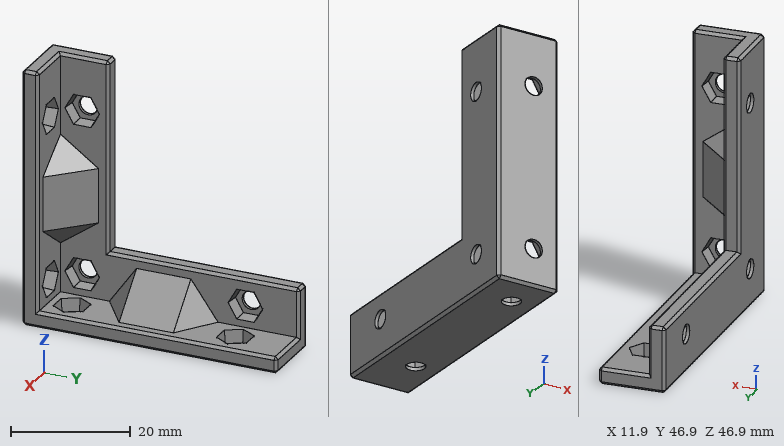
import cadquery as cq

arm_length = 46.9
arm_width = 11.9
wall = 3.0
edge_chamfer = 0.5
tolerance = 0.005

hole_diameter = 3.4
hole_offset = 7.0
hole_spacing = 30.0
pocket_mouth_flats = 5.5
pocket_floor_flats = 5.05
pocket_depth = 2.4

gusset_leg = 7.0
gusset_crest_length = 10.0
gusset_base_length = 20.0
gusset_centre = hole_offset + hole_spacing / 2


def is_inside_corner(edge):
    """True for the edges where two faces meet in a hollow corner, which stay sharp."""
    middle = edge.Center()
    on_inner_face = [abs(value - wall) < tolerance for value in middle.toTuple()]
    between_arms = max(abs(middle.y - arm_width), abs(middle.z - arm_width)) < tolerance
    return sum(on_inner_face) == 2 or between_arms


def make_bracket():
    """L-shaped side plate with a floor along one arm and an end wall along the other."""
    outline = [
        (0, 0),
        (arm_length, 0),
        (arm_length, arm_width),
        (arm_width, arm_width),
        (arm_width, arm_length),
        (0, arm_length),
    ]
    body = cq.Workplane("YZ").polyline(outline).close().extrude(arm_width)
    hollow = cq.Workplane("XY").box(arm_width, arm_length, arm_length, centered=False)
    body = body.cut(hollow.translate((wall, wall, wall)))
    outer_edges = body.edges().filter(lambda edge: not is_inside_corner(edge))
    return outer_edges.chamfer(edge_chamfer)


def make_floor_gusset():
    """Triangular rib along Y between side plate and floor, sloping down to a point at both ends."""
    tip = wall + gusset_leg
    crest_start = gusset_centre - gusset_crest_length / 2
    crest_end = gusset_centre + gusset_crest_length / 2
    start = (wall, gusset_centre - gusset_base_length / 2, wall)
    end = (wall, gusset_centre + gusset_base_length / 2, wall)
    floor_start = (tip, crest_start, wall)
    floor_end = (tip, crest_end, wall)
    side_start = (wall, crest_start, tip)
    side_end = (wall, crest_end, tip)
    outlines = [
        (start, floor_start, side_start),
        (end, side_end, floor_end),
        (floor_start, floor_end, side_end, side_start),
        (start, end, floor_end, floor_start),
        (start, side_start, side_end, end),
    ]
    faces = []
    for outline in outlines:
        wire = cq.Wire.makePolygon([cq.Vector(*corner) for corner in outline], close=True)
        faces.append(cq.Face.makeFromWires(wire))
    return cq.Workplane(cq.Solid.makeSolid(cq.Shell.makeShell(faces)))


def make_nut_hole(plane):
    """Through hole with a tapered nut pocket; the plane lies on the outer face, pointing inwards."""
    hole = cq.Workplane(plane).circle(hole_diameter / 2).extrude(wall)
    pocket = (
        cq.Workplane(plane)
        .workplane(offset=wall - pocket_depth)
        .polygon(6, pocket_floor_flats, circumscribed=True)
        .workplane(offset=pocket_depth)
        .polygon(6, pocket_mouth_flats, circumscribed=True)
        .loft(ruled=True)
    )
    return hole.union(pocket)


def make_nut_holes():
    """Two holes through the floor, two through the end wall and three through the side plate."""
    near = hole_offset
    far = hole_offset + hole_spacing
    planes = []
    for along in (near, far):
        planes.append(cq.Plane(origin=(near, along, 0), xDir=(0, 1, 0), normal=(0, 0, 1)))
        planes.append(cq.Plane(origin=(near, 0, along), xDir=(0, 0, 1), normal=(0, 1, 0)))
    for y, z in ((near, near), (far, near), (near, far)):
        planes.append(cq.Plane(origin=(0, y, z), xDir=(0, 0, 1), normal=(1, 0, 0)))
    return [make_nut_hole(plane) for plane in planes]


floor_gusset = make_floor_gusset()
wall_gusset = floor_gusset.rotate((0, 0, 0), (1, 0, 0), 90).mirror("XZ")

result = make_bracket().union(floor_gusset).union(wall_gusset)
for nut_hole in make_nut_holes():
    result = result.cut(nut_hole)